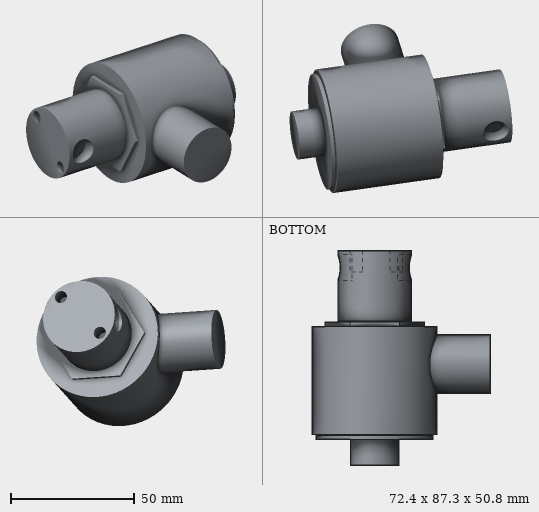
import cadquery as cq
import math

barrel_diameter = 50.8
barrel_length = 43.9

groove_diameter = 44.0
groove_width = 0.4
flange_diameter = 47.6
flange_thickness = 1.5
spigot_diameter = 19.8
spigot_length = 10.6

branch_diameter = 24.0
branch_reach = 47.0
branch_y = 15.3

hex_across_flats = 35.0
hex_across_corners = hex_across_flats / math.cos(math.pi / 6)
hex_thickness = 1.8

overall_length = 87.3
neck_length = 0.35
neck_diameter = 27.9
rotor_diameter = 30.0
rear_end_y = barrel_length + groove_width + flange_thickness + spigot_length
rotor_end_y = rear_end_y - overall_length
rotor_shoulder_y = -hex_thickness - neck_length
rotor_length = rotor_shoulder_y - rotor_end_y

port_diameter = 10.5
port_setback = 6.9
port_depth = 5.85
axial_hole_diameter = 5.1
axial_hole_depth = 8.7
axial_hole_near = 7.5
axial_hole_far = 8.7
axial_hole_centres = [
    (-axial_hole_near, axial_hole_far),
    (axial_hole_far, -axial_hole_near),
]


def rod_along_y(start_y, diameter, length, x=0, z=0):
    """Cylinder running from start_y towards +Y."""
    return cq.Workplane(cq.Solid.makeCylinder(
        diameter / 2, length, cq.Vector(x, start_y, z), cq.Vector(0, 1, 0)))


def make_housing():
    barrel = rod_along_y(0, barrel_diameter, barrel_length)
    groove_floor = rod_along_y(barrel_length, groove_diameter, groove_width)
    flange_y = barrel_length + groove_width
    flange = rod_along_y(flange_y, flange_diameter, flange_thickness)
    spigot = rod_along_y(flange_y + flange_thickness, spigot_diameter, spigot_length)
    branch = cq.Workplane("YZ").center(branch_y, 0).circle(branch_diameter / 2).extrude(branch_reach)
    collar = cq.Workplane("XZ").polygon(6, hex_across_corners).extrude(hex_thickness)
    return barrel.union(groove_floor).union(flange).union(spigot).union(branch).union(collar)


def make_port(side):
    """Cutter for one radial port; side is -1 or +1 along X."""
    mouth = cq.Vector(side * rotor_diameter / 2, rotor_end_y + port_setback, 0)
    return cq.Workplane(cq.Solid.makeCylinder(
        port_diameter / 2, port_depth, mouth, cq.Vector(-side, 0, 0)))


def make_rotor():
    rotor = rod_along_y(rotor_end_y, rotor_diameter, rotor_length)
    rotor = rotor.union(rod_along_y(rotor_shoulder_y, neck_diameter, neck_length))
    for side in (-1, 1):
        rotor = rotor.cut(make_port(side))
    for x, z in axial_hole_centres:
        rotor = rotor.cut(rod_along_y(rotor_end_y, axial_hole_diameter, axial_hole_depth, x, z))
    return rotor


housing = make_housing()
rotor = make_rotor()
result = cq.Compound.makeCompound([housing.val(), rotor.val()])